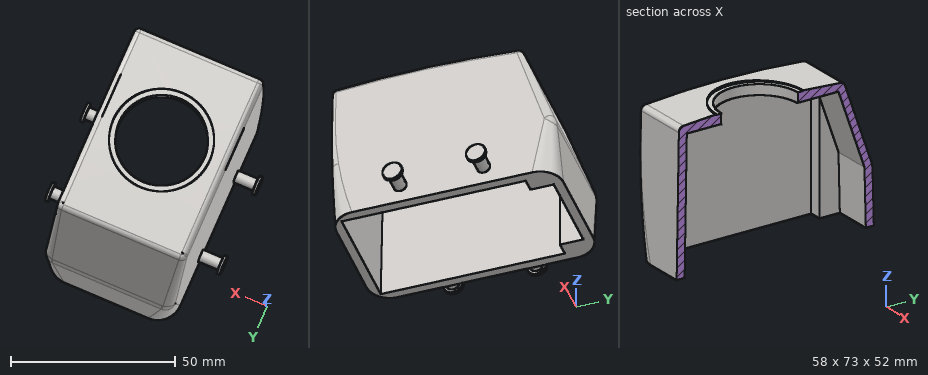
import cadquery as cq

WIDTH = 42.8
LENGTH = 73.0
HEIGHT = 52.0
HALF_LENGTH = LENGTH / 2
FRONT_DRAFT = 0.9
BEND_Y = 36.0
BEND_Z = 20.4
BEND_RADIUS = 8.75
SLOPE_RUN = 0.35
LOFT_TOP = HEIGHT + 2.9
TOP_FILLET = 1.9
LOWER_STEPS = 3
UPPER_STEPS = 4

BASE_RADIUS = 7.5
BACK_BEND_RADIUS = 3.1
BACK_TOP_RADIUS = 1.7
FRONT_TOP_RADIUS = 1.6
FRONT_RADIUS_END = 37.95
FRONT_RADIUS_POWER = 2.0

CROWN_Y = -5.85
CROWN_RADIUS = 328.5
ENTRY_DIAMETER = 28.2
SPOTFACE_DIAMETER = 32.0
SPOTFACE_Z = 51.4

WALL = 3.15
CEILING_Z = 47.75
POST_WIDTH = 4.45
POST_FRONT_Y = 25.85

PIN_SPAN = 58.0
PIN_SPACING = 26.9
PIN_Z = 6.2
PIN_DIAMETER = 4.1
HEAD_DIAMETER = 6.2
HEAD_THICKNESS = 1.0


def front_y(z):
    return -HALF_LENGTH + FRONT_DRAFT * z / HEIGHT


def back_y(z):
    if z <= BEND_Z:
        return HALF_LENGTH + (BEND_Y - HALF_LENGTH) * z / BEND_Z
    return BEND_Y - SLOPE_RUN * (z - BEND_Z)


def front_radius(z):
    remaining = max(0.0, 1 - z / FRONT_RADIUS_END)
    return FRONT_TOP_RADIUS + (BASE_RADIUS - FRONT_TOP_RADIUS) * remaining ** FRONT_RADIUS_POWER


def back_radius(z):
    if z <= BEND_Z:
        return BASE_RADIUS + (BACK_BEND_RADIUS - BASE_RADIUS) * z / BEND_Z
    fraction = (z - BEND_Z) / (LOFT_TOP - BEND_Z)
    return BACK_BEND_RADIUS + (BACK_TOP_RADIUS - BACK_BEND_RADIUS) * fraction


def section(z):
    """Rounded rectangle at height z with separate front and back radii."""
    x = WIDTH / 2
    front, back = front_y(z), back_y(z)
    rf, rb = front_radius(z), back_radius(z)
    return (
        cq.Workplane("XY", origin=(0, 0, z))
        .moveTo(-x + rf, front)
        .lineTo(x - rf, front)
        .radiusArc((x, front + rf), -rf)
        .lineTo(x, back - rb)
        .radiusArc((x - rb, back), -rb)
        .lineTo(-x + rb, back)
        .radiusArc((-x, back - rb), -rb)
        .lineTo(-x, front + rf)
        .radiusArc((-x + rf, front), -rf)
        .close()
        .val()
    )


def loft_between(low, high, steps):
    heights = [low + (high - low) * i / steps for i in range(steps + 1)]
    return cq.Workplane(cq.Solid.makeLoft([section(z) for z in heights], False))


def make_shell():
    body = loft_between(0, BEND_Z, LOWER_STEPS).union(loft_between(BEND_Z, LOFT_TOP, UPPER_STEPS))
    bend_line = cq.selectors.NearestToPointSelector((0, BEND_Y, BEND_Z))
    body = body.edges(bend_line).fillet(BEND_RADIUS)
    crown = (
        cq.Workplane("YZ")
        .center(CROWN_Y, HEIGHT - CROWN_RADIUS)
        .circle(CROWN_RADIUS)
        .extrude(WIDTH, both=True)
    )
    body = body.intersect(crown)
    return body.faces(">Z").edges().fillet(TOP_FILLET)


def make_cavity():
    """Hollow following the side outline one wall thickness inside it."""
    slope_end_y = back_y(CEILING_Z) - WALL
    outline = [
        (front_y(0) + WALL, 0),
        (back_y(0) - WALL, 0),
        (BEND_Y - WALL, BEND_Z),
        (slope_end_y, CEILING_Z),
        (front_y(CEILING_Z) + WALL, CEILING_Z),
    ]
    inner_half = WIDTH / 2 - WALL
    cavity = cq.Workplane("YZ").polyline(outline).close().extrude(inner_half, both=True)
    for side in (-1, 1):
        post = cq.Workplane("XY").box(POST_WIDTH, LENGTH, HEIGHT, centered=(True, False, False))
        cavity = cavity.cut(post.translate((side * (inner_half - POST_WIDTH / 2), POST_FRONT_Y, 0)))
    return cavity


def cylinder_down(diameter, bottom):
    return (
        cq.Workplane("XY", origin=(0, CROWN_Y, bottom))
        .circle(diameter / 2)
        .extrude(LOFT_TOP - bottom)
    )


def make_pin(side, y):
    """Headed pin rooted in the middle of a side wall."""
    root = WIDTH / 2 - WALL / 2
    length = PIN_SPAN / 2 - root
    plane = cq.Plane(origin=(side * root, y, PIN_Z), xDir=(0, 1, 0), normal=(side, 0, 0))
    shaft = cq.Workplane(plane).circle(PIN_DIAMETER / 2).extrude(length)
    head = (
        cq.Workplane(plane)
        .workplane(offset=length - HEAD_THICKNESS)
        .circle(HEAD_DIAMETER / 2)
        .extrude(HEAD_THICKNESS)
    )
    return shaft.union(head)


result = make_shell().cut(make_cavity())
result = result.cut(cylinder_down(ENTRY_DIAMETER, CEILING_Z))
result = result.cut(cylinder_down(SPOTFACE_DIAMETER, SPOTFACE_Z))
for pin_side in (-1, 1):
    for pin_y in (-PIN_SPACING / 2, PIN_SPACING / 2):
        result = result.union(make_pin(pin_side, pin_y))